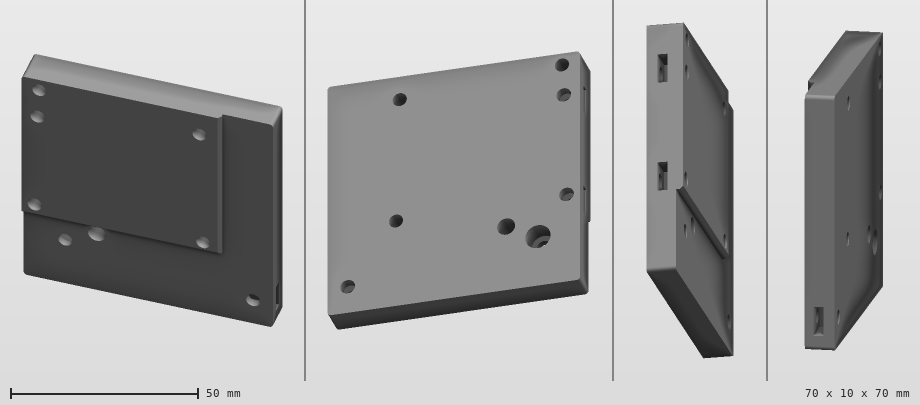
import cadquery as cq
import math

side = 70.0
thickness = 10.0
corner_radius = 1.05

pad_width = 55.85
pad_bottom = 22.7
step_depth = 1.95
pad_chamfer = 0.85

small_diameter = 3.9
nut_hole_diameter = 4.05
large_diameter = 5.0
small_holes = [(5.05, 66.5), (50.0, 63.0), (51.0, 26.0)]
lower_hole = (11.7, 15.0)
nut_holes = [(4.55, 57.25), (3.8, 26.7)]
corner_hole = (64.4, 8.0)
large_hole = (20.5, 19.45)

counterbore_diameter = 7.0
counterbore_depth = 6.0

slot_height = 8.0
slot_width = 2.7
slot_back_wall = 3.0


def box(x_size, y_size, z_size, corner):
    """Box whose minimum-coordinate corner sits at the given point."""
    return cq.Workplane("XY").box(x_size, y_size, z_size, centered=False).translate(corner)


def through_holes(centres, diameter):
    """Cylinders along Y through the full thickness at (x, z) centres."""
    front = cq.Workplane("XZ").pushPoints(centres)
    return front.circle(diameter / 2).extrude(-thickness)


def nut_slot(side_x, hole_x, hole_z):
    """Rectangular pocket from a side face to half a slot height past the nut hole."""
    depth = abs(hole_x - side_x) + slot_height / 2
    start_x = min(side_x, side_x + math.copysign(depth, hole_x - side_x))
    slot_front = thickness - slot_back_wall - slot_width
    return box(depth, slot_width, slot_height, (start_x, slot_front, hole_z - slot_height / 2))


base = box(side, thickness - step_depth, side, (0, step_depth, 0))
pad = box(pad_width, step_depth, side - pad_bottom, (0, 0, pad_bottom))
pad = pad.faces(">X or <Z").edges("<Y").chamfer(pad_chamfer)

outline = box(side, thickness, side, (0, 0, 0)).edges("|Y").fillet(corner_radius)
result = base.union(pad).intersect(outline)

result = result.cut(through_holes(small_holes + [lower_hole], small_diameter))
result = result.cut(through_holes(nut_holes + [corner_hole], nut_hole_diameter))
result = result.cut(through_holes([large_hole], large_diameter))

for hole_x, hole_z in nut_holes:
    result = result.cut(nut_slot(0, hole_x, hole_z))
result = result.cut(nut_slot(side, *corner_hole))

counterbore = through_holes([lower_hole], counterbore_diameter)
counterbore = counterbore.translate((0, thickness - counterbore_depth, 0))
result = result.cut(counterbore)